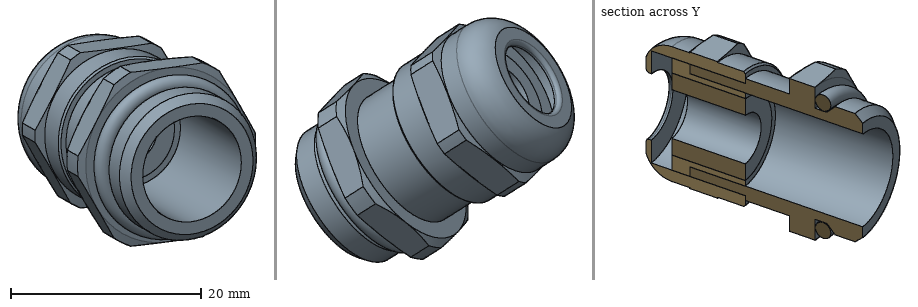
import cadquery as cq
import math


LENGTH = 27.25

NUT_DIA = 16.8
NUT_END = 12.5
NUT_END_CHAMFER = 0.22
DOME_FACE_DIA = 12.0
DOME_LENGTH = 3.3
ENTRY_DIA = 8.2
ENTRY_FILLET = 0.45
LIP_THICKNESS = 0.7
NUT_HEX_START = 5.48
NUT_HEX_END = 9.02
NUT_HEX_FLATS = 17.0
NUT_HEX_CORNERS = 18.9

CLAMP_START = 3.27
SEAL_DIA = 10.1
CABLE_DIA = 6.0

THREAD_START = 5.48
THREAD_DIA = 13.87
NECK_DIA = 15.2
BODY_BORE_DIA = 11.5
BODY_HEX_START = 18.0
BODY_HEX_END = 21.25
BODY_HEX_FLATS = 19.0
BODY_HEX_CORNERS = 20.78
ENTRY_THREAD_DIA = 16.0
ENTRY_THREAD_START = 23.75
END_CHAMFER_LENGTH = 0.98
END_FACE_DIA = 14.22

RING_INNER_DIA = 13.87
RING_SECTION_DIA = 2.0

BODY_FRONT_BEVEL = 30.0
NUT_FRONT_BEVEL = 15.0
REAR_BEVEL = 10.0


def revolve_about_x(profile):
    """Turn a closed (x, radius) profile about the X axis."""
    return profile.revolve(360, (0, 0, 0), (1, 0, 0))


def turned(points):
    """Solid of revolution about X from a polygon of (x, radius) points."""
    return revolve_about_x(cq.Workplane("XY").polyline(points).close())


def bar(start, end, diameter):
    """Round bar along X."""
    radius = diameter / 2
    return turned([(start, 0), (start, radius), (end, radius), (end, 0)])


def tube(start, end, outer_dia, inner_dia):
    """Plain ring along X."""
    return bar(start, end, outer_dia).cut(bar(start, end, inner_dia))


def hexagon(start, end, flats, corner_dia, face_dia, front_angle, rear_angle):
    """Hexagonal collar with rounded corners, bevelled from face_dia out to corner_dia."""
    across_corners = flats / math.cos(math.radians(30))
    prism = cq.Workplane("YZ").workplane(offset=start).polygon(6, across_corners).extrude(end - start)
    face_radius = face_dia / 2
    corner_radius = corner_dia / 2
    bevel_height = corner_radius - face_radius
    front_bevel = bevel_height * math.tan(math.radians(front_angle))
    rear_bevel = bevel_height * math.tan(math.radians(rear_angle))
    envelope = turned([
        (start, 0),
        (start, face_radius),
        (start + front_bevel, corner_radius),
        (end - rear_bevel, corner_radius),
        (end, face_radius),
        (end, 0),
    ])
    return prism.intersect(envelope)


def nut_shell():
    """Solid outside of the cap nut: dome, cylinder and chamfered end."""
    radius = NUT_DIA / 2
    face_radius = DOME_FACE_DIA / 2
    drop = radius - face_radius
    dome_radius = (DOME_LENGTH**2 + drop**2) / (2 * drop)
    half_sweep = math.asin(DOME_LENGTH / dome_radius) / 2
    arc_middle = (
        DOME_LENGTH - dome_radius * math.sin(half_sweep),
        radius - dome_radius * (1 - math.cos(half_sweep)),
    )
    profile = (
        cq.Workplane("XY")
        .moveTo(0, 0)
        .lineTo(0, face_radius)
        .threePointArc(arc_middle, (DOME_LENGTH, radius))
        .lineTo(NUT_END - NUT_END_CHAMFER, radius)
        .lineTo(NUT_END, radius - NUT_END_CHAMFER)
        .lineTo(NUT_END, 0)
        .close()
    )
    return revolve_about_x(profile)


def nut_entry():
    """Cutter for the cable entry with its rounded front edge."""
    radius = ENTRY_DIA / 2
    arc_offset = ENTRY_FILLET * (1 - math.sqrt(0.5))
    profile = (
        cq.Workplane("XY")
        .moveTo(0, 0)
        .lineTo(0, radius + ENTRY_FILLET)
        .threePointArc((arc_offset, radius + arc_offset), (ENTRY_FILLET, radius))
        .lineTo(LIP_THICKNESS, radius)
        .lineTo(LIP_THICKNESS, 0)
        .close()
    )
    return revolve_about_x(profile)


def make_cap_nut():
    collar = hexagon(
        NUT_HEX_START, NUT_HEX_END, NUT_HEX_FLATS, NUT_HEX_CORNERS,
        NUT_DIA, NUT_FRONT_BEVEL, REAR_BEVEL,
    )
    thread_bore = bar(LIP_THICKNESS, NUT_END, THREAD_DIA)
    return nut_shell().union(collar).cut(nut_entry()).cut(thread_bore)


def make_body():
    groove_radius = RING_INNER_DIA / 2
    entry_radius = ENTRY_THREAD_DIA / 2
    flank_start = ENTRY_THREAD_START - (entry_radius - groove_radius)
    core = turned([
        (THREAD_START, 0),
        (THREAD_START, THREAD_DIA / 2),
        (NUT_END, THREAD_DIA / 2),
        (NUT_END, NECK_DIA / 2),
        (BODY_HEX_END, NECK_DIA / 2),
        (BODY_HEX_END, groove_radius),
        (flank_start, groove_radius),
        (ENTRY_THREAD_START, entry_radius),
        (LENGTH - END_CHAMFER_LENGTH, entry_radius),
        (LENGTH, END_FACE_DIA / 2),
        (LENGTH, 0),
    ])
    collar = hexagon(
        BODY_HEX_START, BODY_HEX_END, BODY_HEX_FLATS, BODY_HEX_CORNERS,
        BODY_HEX_FLATS, BODY_FRONT_BEVEL, REAR_BEVEL,
    )
    through_bore = bar(THREAD_START, LENGTH, BODY_BORE_DIA)
    return core.union(collar).cut(through_bore)


def make_o_ring():
    section_radius = RING_SECTION_DIA / 2
    centre = (BODY_HEX_END + section_radius, RING_INNER_DIA / 2 + section_radius)
    return revolve_about_x(cq.Workplane("XY").moveTo(*centre).circle(section_radius))


def make_clamping_cage():
    head = tube(CLAMP_START, THREAD_START, THREAD_DIA, SEAL_DIA)
    sleeve = tube(THREAD_START, NUT_END, BODY_BORE_DIA, SEAL_DIA)
    return head.union(sleeve)


def make_sealing_insert():
    return tube(CLAMP_START, NUT_END, SEAL_DIA, CABLE_DIA)


cap_nut = make_cap_nut()
body = make_body()
o_ring = make_o_ring()
clamping_cage = make_clamping_cage()
sealing_insert = make_sealing_insert()

result = cq.Compound.makeCompound([
    cap_nut.solids().val(),
    body.solids().val(),
    o_ring.solids().val(),
    clamping_cage.solids().val(),
    sealing_insert.solids().val(),
])